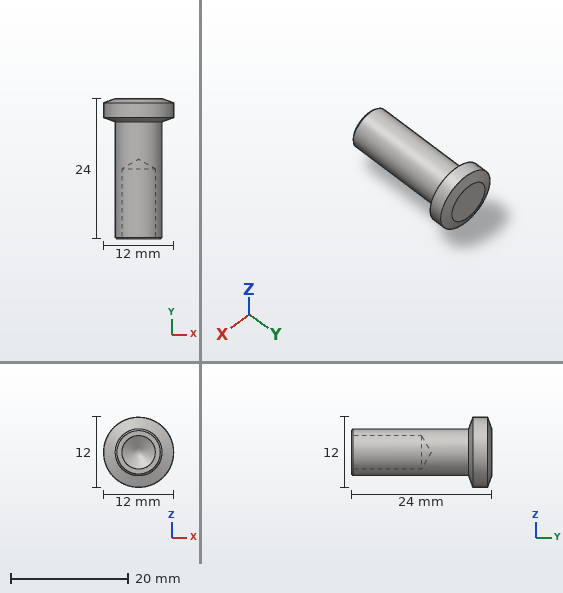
import cadquery as cq
import math


shank_diameter = 8.0
shank_length = 20.0
end_chamfer = 0.3

head_diameter = 12.0
head_length = 4.0
head_face_slope = 20.0

hole_diameter = 5.7
hole_depth = 12.0
drill_point_angle = 120.0

shank_radius = shank_diameter / 2
head_radius = head_diameter / 2
hole_radius = hole_diameter / 2
free_end = -shank_length
head_cone_length = (head_radius - shank_radius) * math.tan(math.radians(head_face_slope))
drill_tip_length = hole_radius / math.tan(math.radians(drill_point_angle / 2))


def revolve_about_y(half_profile):
    """Turn a closed (radius, Y) half profile into a solid of revolution."""
    return cq.Workplane("XY").polyline(half_profile).close().revolve(360, (0, 0, 0), (0, 1, 0))


def make_pin():
    """Shank with a chamfered free end, and the double-coned head."""
    return revolve_about_y([
        (0, free_end),
        (shank_radius - end_chamfer, free_end),
        (shank_radius, free_end + end_chamfer),
        (shank_radius, 0),
        (head_radius, head_cone_length),
        (head_radius, head_length - head_cone_length),
        (shank_radius, head_length),
        (0, head_length),
    ])


def make_hole():
    """Drilled hole with a conical tip, starting at the free end."""
    hole_bottom = free_end + hole_depth
    return revolve_about_y([
        (0, free_end),
        (hole_radius, free_end),
        (hole_radius, hole_bottom),
        (0, hole_bottom + drill_tip_length),
    ])


result = make_pin().cut(make_hole())